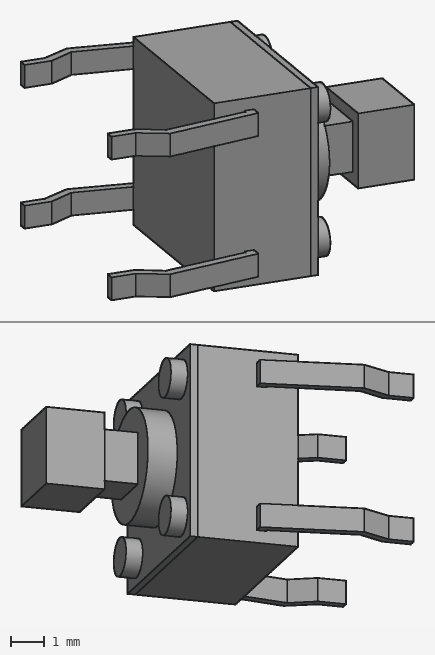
import cadquery as cq

body_side = 6.0
base_depth = 3.14
cover_thickness = 0.24
cover_face = base_depth + cover_thickness

post_diameter = 1.2
post_height = 0.52
post_pitch = 4.3

collar_diameter = 3.52
collar_height = 0.92
stem_side = 1.61
stem_length = 1.18
cap_side = 2.4
cap_length = 1.83
cap_face = cover_face + collar_height + stem_length + cap_length

overall_length = 10.8
overall_width = 7.7
lead_width = 0.73
lead_pitch = 4.49
lead_thickness = 0.3
lead_root_x = body_side / 2
lead_top_y = 1.3
shoulder_outer_x = 3.34
shoulder_inner_x = 3.09
knee_outer_x = overall_width / 2
knee_inner_x = 3.52
knee_y = -1.79
foot_inner_x = 3.09
foot_outer_x = foot_inner_x + lead_thickness
foot_inner_bend_y = -2.61
foot_outer_bend_y = -2.71
foot_end_y = cap_face - overall_length


def plane_at(y):
    """Sketch plane at the given Y, extruding toward +Y."""
    return cq.Workplane("ZX", origin=(0, y, 0))


def square_block(side, start_y, length):
    return plane_at(start_y).rect(side, side).extrude(length)


def make_base():
    return square_block(body_side, 0, base_depth)


def make_cover():
    plate = square_block(body_side, base_depth, cover_thickness)
    posts = (
        plane_at(cover_face)
        .rarray(post_pitch, post_pitch, 2, 2)
        .circle(post_diameter / 2)
        .extrude(post_height)
    )
    return plate.union(posts)


def make_plunger():
    stem_start = cover_face + collar_height
    cap_start = stem_start + stem_length
    collar = plane_at(cover_face).circle(collar_diameter / 2).extrude(collar_height)
    stem = square_block(stem_side, stem_start, stem_length)
    cap = square_block(cap_side, cap_start, cap_length)
    return collar.union(stem).union(cap)


def make_lead(side, center_z):
    """One bent lead; side is +1 for the +X wall of the base and -1 for the -X wall."""
    outline = [
        (lead_root_x, lead_top_y),
        (shoulder_outer_x, lead_top_y),
        (knee_outer_x, knee_y),
        (foot_outer_x, foot_outer_bend_y),
        (foot_outer_x, foot_end_y),
        (foot_inner_x, foot_end_y),
        (foot_inner_x, foot_inner_bend_y),
        (knee_inner_x, knee_y),
        (shoulder_inner_x, lead_top_y - lead_thickness),
        (lead_root_x, lead_top_y - lead_thickness),
    ]
    return (
        cq.Workplane("XY")
        .polyline([(side * x, y) for x, y in outline])
        .close()
        .extrude(lead_width / 2, both=True)
        .translate((0, 0, center_z))
    )


base = make_base()
cover = make_cover()
plunger = make_plunger()
leads = [
    make_lead(side, center_z)
    for side in (-1, 1)
    for center_z in (-lead_pitch / 2, lead_pitch / 2)
]

result = cq.Compound.makeCompound(
    [base.val(), cover.val(), plunger.val(), *[lead.val() for lead in leads]]
)